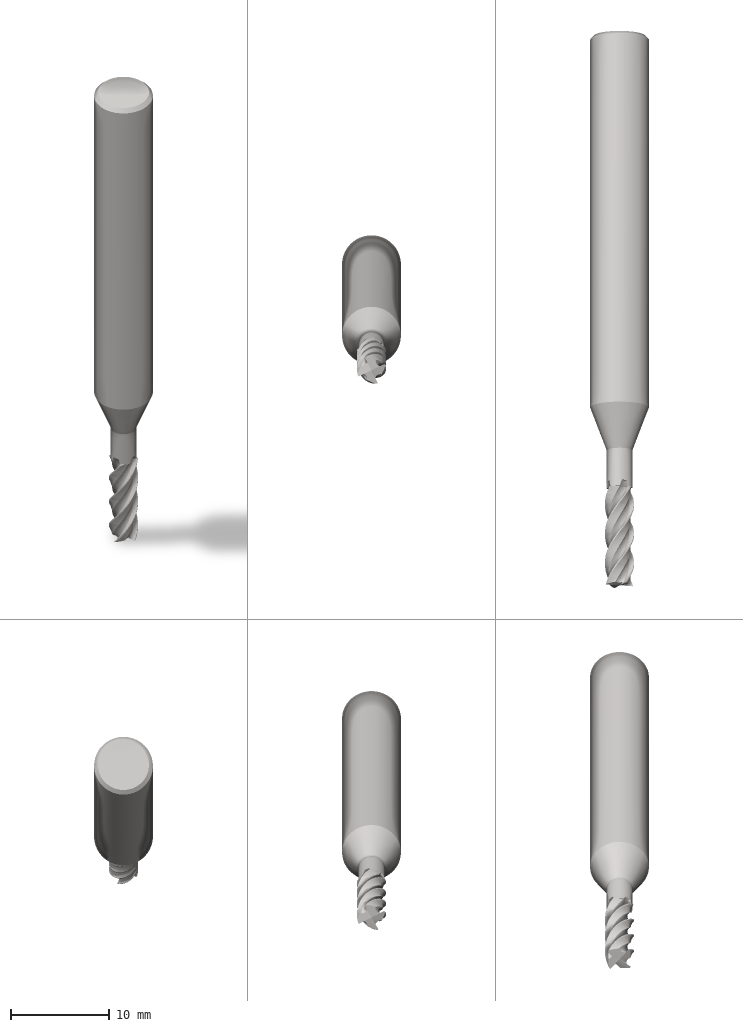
import cadquery as cq
import math

overall_length = 57.0
shank_radius = 2.99
shank_chamfer = 0.4
cone_top = 18.45
cone_bottom = 14.0

neck_radius = 1.3
cutting_radius = 1.5
cutting_length = 10.1

tooth_count = 4
tooth_pitch = 360.0 / tooth_count
helix_lead = 12.2
core_radius = 0.8
rake_root_radius = 0.95
heel_radius = 1.15
margin_angle = 6.0
heel_angle = 44.0
gullet_angle = (heel_angle + tooth_pitch) / 2
runout_length = 0.6
runout_taper = 20.0
end_relief_angle = 12.0

total_twist = 360.0 * cutting_length / helix_lead


def polar(radius, angle):
    """Point at a radius and an angle in degrees."""
    turn = math.radians(angle)
    return (radius * math.cos(turn), radius * math.sin(turn))


def make_fluted_end():
    """Twisted bar; each tooth has a margin, a cleared land, a round gullet and a radial rake face."""
    section = cq.Workplane("XY").moveTo(*polar(cutting_radius, 0))
    for tooth in range(tooth_count):
        edge = tooth * tooth_pitch
        next_edge = edge + tooth_pitch
        section = (
            section.threePointArc(
                polar(cutting_radius, edge + margin_angle / 2),
                polar(cutting_radius, edge + margin_angle),
            )
            .lineTo(*polar(heel_radius, edge + heel_angle))
            .threePointArc(polar(core_radius, edge + gullet_angle), polar(rake_root_radius, next_edge))
        )
        if tooth < tooth_count - 1:
            section = section.lineTo(*polar(cutting_radius, next_edge))
    return section.close().twistExtrude(cutting_length, total_twist)


def make_runout(edge):
    """Straight, narrowing end of the flute in front of a cutting edge, open to the outside."""
    heel = edge + heel_angle - tooth_pitch
    gullet = edge + gullet_angle - tooth_pitch
    return (
        cq.Workplane("XY", origin=(0, 0, cutting_length))
        .moveTo(*polar(shank_radius, edge))
        .lineTo(*polar(rake_root_radius, edge))
        .threePointArc(polar(core_radius, gullet), polar(heel_radius, heel))
        .lineTo(*polar(shank_radius, heel))
        .close()
        .extrude(runout_length, taper=runout_taper)
    )


def make_neck():
    """Plain neck with the ends of the flutes cut into it."""
    neck_length = cone_bottom - cutting_length
    neck = cq.Workplane("XY", origin=(0, 0, cutting_length)).circle(neck_radius).extrude(neck_length)
    for tooth in range(tooth_count):
        neck = neck.cut(make_runout(total_twist + tooth * tooth_pitch))
    return neck


def make_end_relief(edge):
    """Wedge below one end tooth, rising behind its radial cutting edge."""
    rise = shank_radius * math.tan(math.radians(end_relief_angle))
    return (
        cq.Workplane("YZ")
        .polyline([(0, 0), (shank_radius, 0), (shank_radius, rise)])
        .close()
        .extrude(shank_radius)
        .rotate((0, 0, 0), (0, 0, 1), edge)
    )


def make_shank():
    """Chamfered round shank with a cone down to the neck."""
    return (
        cq.Workplane("XZ")
        .moveTo(0, cone_bottom)
        .lineTo(neck_radius, cone_bottom)
        .lineTo(shank_radius, cone_top)
        .lineTo(shank_radius, overall_length - shank_chamfer)
        .lineTo(shank_radius - shank_chamfer, overall_length)
        .lineTo(0, overall_length)
        .close()
        .revolve(360, (0, 0, 0), (0, 1, 0))
    )


def make_cutter():
    """Neck and fluted end in one piece, with relieved end teeth."""
    cutter = make_fluted_end().union(make_neck())
    for tooth in range(tooth_count):
        cutter = cutter.cut(make_end_relief(tooth * tooth_pitch))
    return cutter


shank = make_shank()
cutter = make_cutter()
result = cq.Compound.makeCompound([*shank.vals(), *cutter.solids().vals()])